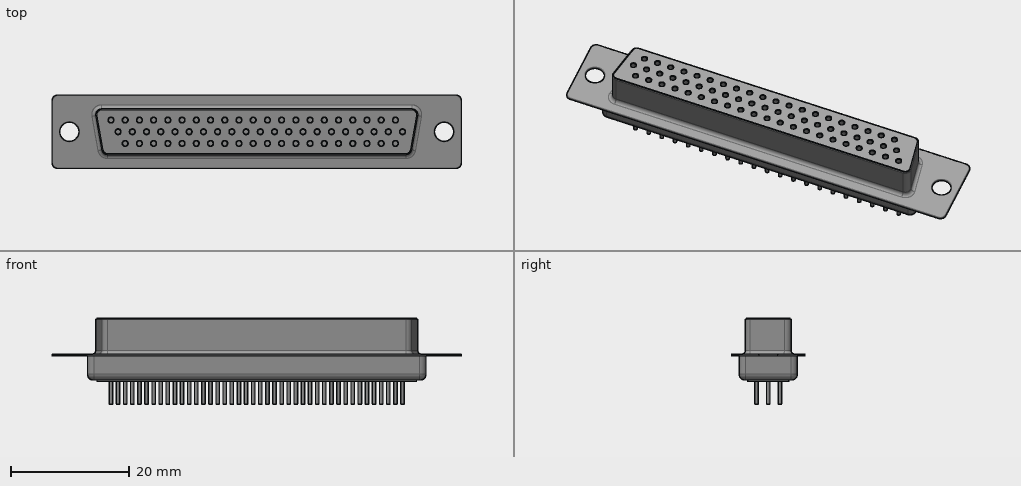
import cadquery as cq
import math

PLATE_LENGTH = 69.4
PLATE_WIDTH = 12.5
PLATE_THICKNESS = 0.3
PLATE_CORNER_RADIUS = 1.0
PLATE_EDGE_RADIUS = 0.1
MOUNT_HOLE_DIAMETER = 3.2
MOUNT_HOLE_SPACING = 63.5

OVERALL_HEIGHT = 14.7
SHELL_TOP = 6.25
SHELL_MEAN_LENGTH = 53.6
SHELL_WIDTH = 7.8
SHELL_SIDE_ANGLE = math.radians(10)
SHELL_CORNER_RADIUS = 1.0
SHELL_RIM_RADIUS = 0.1
SHELL_ROOT_RADIUS = 0.65

FACE_HEIGHT = 0.2
FACE_INSET = 0.2
FACE_TOP = SHELL_TOP + FACE_HEIGHT

HOUSING_LENGTH = 57.4
HOUSING_WIDTH = 9.9
HOUSING_DEPTH = 4.1
HOUSING_CORNER_RADIUS = 1.1
HOUSING_BOTTOM_RADIUS = 1.0

BASE_LENGTH = 54.2
BASE_WIDTH = 7.0
BASE_HEIGHT = 0.25

CONTACT_PITCH = 2.41
ROW_PITCH = 1.98
SOCKET_DIAMETER = 0.85
SOCKET_CHAMFER = 0.1
SOCKET_DEPTH = 5.0
PIN_DIAMETER = 0.64
PIN_TIP_RADIUS = 0.2
PIN_BOTTOM = FACE_TOP - OVERALL_HEIGHT


def contact_positions():
    """Return the XY centres of all contacts, row by row."""
    long_row = 21
    short_row = long_row - 1
    first_x = -(long_row - 0.5) * CONTACT_PITCH / 2
    row_counts = [long_row, long_row, short_row]
    positions = []
    for row, count in enumerate(row_counts):
        row_x = first_x + row * CONTACT_PITCH / 2
        row_y = (1 - row) * ROW_PITCH
        positions += [(row_x + i * CONTACT_PITCH, row_y) for i in range(count)]
    return positions


def make_plate():
    mount_x = MOUNT_HOLE_SPACING / 2
    return (
        cq.Workplane("XY")
        .rect(PLATE_LENGTH, PLATE_WIDTH)
        .extrude(PLATE_THICKNESS)
        .edges("|Z")
        .fillet(PLATE_CORNER_RADIUS)
        .faces(">Z")
        .workplane()
        .pushPoints([(-mount_x, 0), (mount_x, 0)])
        .hole(MOUNT_HOLE_DIAMETER)
        .faces(">Z")
        .edges()
        .fillet(PLATE_EDGE_RADIUS)
    )


def shell_prism(inset, top):
    """Extrude the D outline, offset inwards by `inset`, from Z = 0 to `top`."""
    half_width = SHELL_WIDTH / 2 - inset
    mean_x = SHELL_MEAN_LENGTH / 2 - inset / math.cos(SHELL_SIDE_ANGLE)
    side_shift = half_width * math.tan(SHELL_SIDE_ANGLE)
    wide_x = mean_x + side_shift
    narrow_x = mean_x - side_shift
    outline = [
        (-wide_x, half_width),
        (wide_x, half_width),
        (narrow_x, -half_width),
        (-narrow_x, -half_width),
    ]
    return (
        cq.Workplane("XY")
        .polyline(outline)
        .close()
        .extrude(top)
        .edges("|Z")
        .fillet(SHELL_CORNER_RADIUS - inset)
    )


def make_shell():
    return shell_prism(0, SHELL_TOP).faces(">Z").edges().fillet(SHELL_RIM_RADIUS)


def make_face():
    return shell_prism(FACE_INSET, FACE_TOP)


def fillet_shell_root(body):
    """Blend the foot of the shell into the top of the plate."""
    margin = 0.1
    reach_x = (MOUNT_HOLE_SPACING - MOUNT_HOLE_DIAMETER) / 2 - 2 * PLATE_EDGE_RADIUS
    reach_y = SHELL_WIDTH / 2 + margin
    root_edges = cq.selectors.BoxSelector(
        (-reach_x, -reach_y, PLATE_THICKNESS - margin),
        (reach_x, reach_y, PLATE_THICKNESS + margin),
    )
    return body.edges(root_edges).fillet(SHELL_ROOT_RADIUS)


def make_housing():
    return (
        cq.Workplane("XY")
        .rect(HOUSING_LENGTH, HOUSING_WIDTH)
        .extrude(-HOUSING_DEPTH)
        .edges("|Z")
        .fillet(HOUSING_CORNER_RADIUS)
        .faces("<Z")
        .edges()
        .fillet(HOUSING_BOTTOM_RADIUS)
    )


def make_base():
    return (
        cq.Workplane("XY", origin=(0, 0, -HOUSING_DEPTH))
        .rect(BASE_LENGTH, BASE_WIDTH)
        .extrude(-BASE_HEIGHT)
    )


def make_pins(positions):
    return (
        cq.Workplane("XY", origin=(0, 0, PIN_BOTTOM))
        .pushPoints(positions)
        .circle(PIN_DIAMETER / 2)
        .extrude(-PIN_BOTTOM)
        .faces("<Z")
        .edges()
        .fillet(PIN_TIP_RADIUS)
    )


def make_sockets(positions):
    """Blind holes with a conical lead-in at the insulator face."""
    radius = SOCKET_DIAMETER / 2
    mouth_radius = radius + SOCKET_CHAMFER
    bottom = FACE_TOP - SOCKET_DEPTH
    half_profile = [
        (0, bottom),
        (radius, bottom),
        (radius, FACE_TOP - SOCKET_CHAMFER),
        (mouth_radius, FACE_TOP),
        (0, FACE_TOP),
    ]
    socket = cq.Workplane("XZ").polyline(half_profile).close().revolve(360, (0, 0), (0, 1)).val()
    return cq.Workplane("XY").pushPoints(positions).eachpoint(lambda place: socket.moved(place))


contacts = contact_positions()
body = fillet_shell_root(make_plate().union(make_shell()))
body = body.union(make_face())
body = body.union(make_housing())
body = body.union(make_base())
body = body.union(make_pins(contacts))
result = body.cut(make_sockets(contacts))